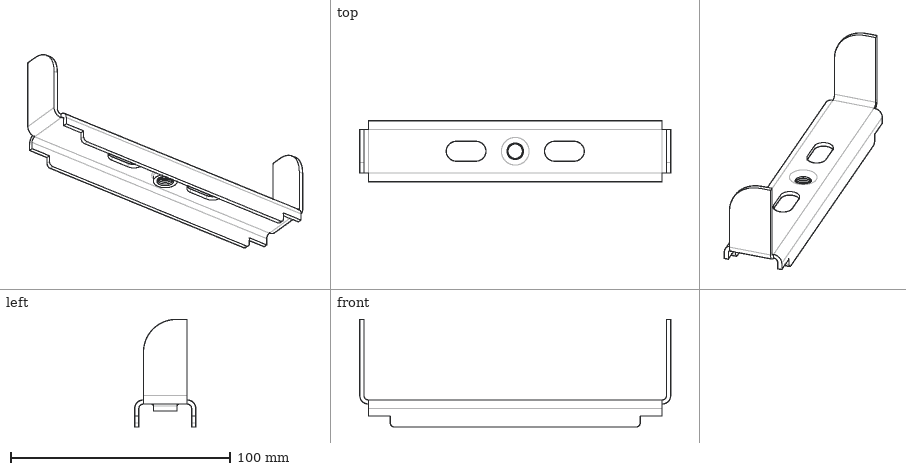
import cadquery as cq

length = 142.0
width = 28.0
height = 49.3
thickness = 2.0
inner_bend = 2.0
outer_bend = inner_bend + thickness

flange_depth = 12.5
notch_length = 10.0
notch_height = 5.1
flange_corner_radius = 2.0

tab_corner_radius = 15.0

slot_length = 18.0
slot_width = 9.0
slot_offset = 22.5

hole_diameter = 6.5
mouth_diameter = 12.6
collar_diameter = 11.0
collar_drop = 3.1
collar_root_radius = 0.7

thread_diameter = 7.7
thread_pitch = 1.0
groove_count = 5

web_length = length - 2 * outer_bend
web_width = width - 2 * outer_bend
tab_top = height - flange_depth


def flanged_channel():
    """Web with both side flanges bent down, notched at the four lower corners."""
    half_width = width / 2
    half_web = web_width / 2
    inside = half_width - thickness
    section = (
        cq.Workplane("YZ")
        .moveTo(-half_width, -flange_depth)
        .lineTo(-half_width, -outer_bend)
        .radiusArc((-half_web, 0), outer_bend)
        .lineTo(half_web, 0)
        .radiusArc((half_width, -outer_bend), outer_bend)
        .lineTo(half_width, -flange_depth)
        .lineTo(inside, -flange_depth)
        .lineTo(inside, -outer_bend)
        .radiusArc((half_web, -thickness), -inner_bend)
        .lineTo(-half_web, -thickness)
        .radiusArc((-inside, -outer_bend), -inner_bend)
        .lineTo(-inside, -flange_depth)
        .close()
        .extrude(web_length / 2, both=True)
    )
    deep_length = web_length - 2 * notch_length
    upper_height = flange_depth - notch_height
    upper = cq.Workplane("XY").box(
        web_length, width, upper_height, centered=(True, True, False)
    ).translate((0, 0, -upper_height))
    lower = (
        cq.Workplane("XY")
        .box(deep_length, width, flange_depth, centered=(True, True, False))
        .translate((0, 0, -flange_depth))
        .edges("|Y and <Z")
        .fillet(flange_corner_radius)
    )
    return section.intersect(upper.union(lower))


def left_tab():
    """Upright end tab with its bend and one large rounded corner on the +Y side."""
    outer_x = -length / 2
    inner_x = outer_x + thickness
    web_end = -web_length / 2
    bend_top = inner_bend
    return (
        cq.Workplane("XZ")
        .moveTo(web_end, 0)
        .radiusArc((inner_x, bend_top), inner_bend)
        .lineTo(inner_x, tab_top)
        .lineTo(outer_x, tab_top)
        .lineTo(outer_x, bend_top)
        .radiusArc((web_end, -thickness), -outer_bend)
        .close()
        .extrude(web_width / 2, both=True)
        .edges("|X and >Z and >Y")
        .fillet(tab_corner_radius)
    )


def collar():
    """Collar drawn down below the web, filleted where it leaves the web."""
    radius = collar_diameter / 2
    return (
        cq.Workplane("XZ")
        .moveTo(0, 0)
        .lineTo(radius + collar_root_radius, 0)
        .lineTo(radius + collar_root_radius, -thickness)
        .radiusArc((radius, -thickness - collar_root_radius), -collar_root_radius)
        .lineTo(radius, -thickness - collar_drop)
        .lineTo(0, -thickness - collar_drop)
        .close()
        .revolve(360, (0, 0, 0), (0, 1, 0))
    )


def flared_hole():
    """Through hole whose mouth is rounded over into the web's top face."""
    hole_radius = hole_diameter / 2
    mouth_radius = mouth_diameter / 2
    flare_radius = mouth_radius - hole_radius
    bottom = -thickness - collar_drop
    return (
        cq.Workplane("XZ")
        .moveTo(0, 0)
        .lineTo(mouth_radius, 0)
        .radiusArc((hole_radius, -flare_radius), -flare_radius)
        .lineTo(hole_radius, bottom)
        .lineTo(0, bottom)
        .close()
        .revolve(360, (0, 0, 0), (0, 1, 0))
    )


def thread_grooves():
    """V-shaped rings stacked upward, the lowest centered on the collar's bottom face."""
    hole_radius = hole_diameter / 2
    root_radius = thread_diameter / 2
    bottom = -thickness - collar_drop
    grooves = cq.Workplane("XZ")
    for index in range(groove_count):
        groove_bottom = bottom + (index - 0.5) * thread_pitch
        groove_top = groove_bottom + thread_pitch
        grooves = (
            grooves.moveTo(0, groove_bottom)
            .lineTo(hole_radius, groove_bottom)
            .lineTo(root_radius, groove_bottom + thread_pitch / 2)
            .lineTo(hole_radius, groove_top)
            .lineTo(0, groove_top)
            .close()
        )
    return grooves.revolve(360, (0, 0, 0), (0, 1, 0))


def slots():
    return (
        cq.Workplane("XY")
        .pushPoints([(-slot_offset, 0), (slot_offset, 0)])
        .slot2D(slot_length, slot_width)
        .extrude(-thickness)
    )


tab = left_tab()
result = flanged_channel().union(tab).union(tab.mirror("YZ")).union(collar())
result = result.cut(flared_hole()).cut(thread_grooves()).cut(slots())